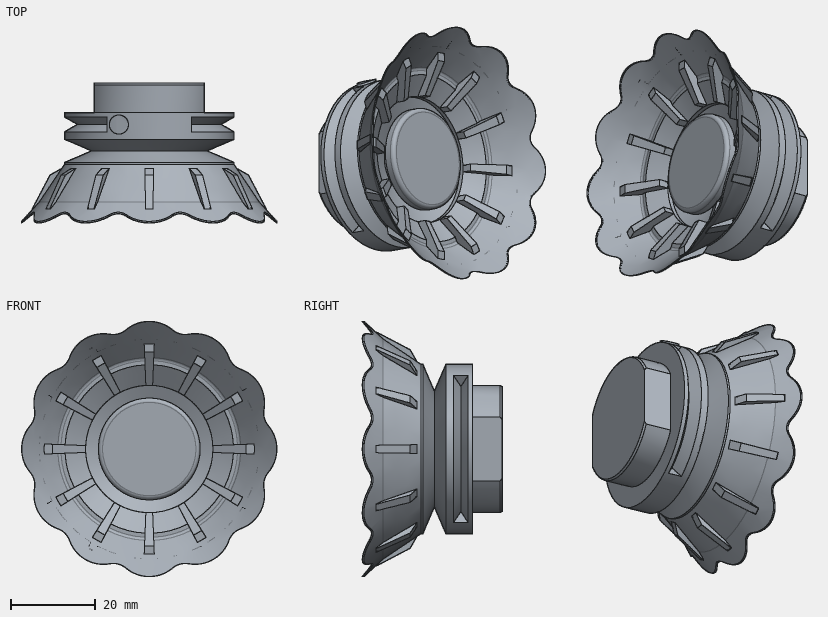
import cadquery as cq
import math


SPIGOT_RADIUS = 15.0
SPIGOT_FLAT_DISTANCE = 13.0
SPIGOT_CHAMFER_DEPTH = 0.5
SPIGOT_CHAMFER_WIDTH = 0.3

BODY_RADIUS = 20.0
FLANGE_REAR = 7.0
FLANGE_FRONT = 13.3
NECK_RADIUS = 13.7
NECK_DEPTH = 16.0
BAND_REAR = 18.7
BAND_FRONT = 19.2

GROOVE_REAR = 8.05
GROOVE_APEX = 9.75
GROOVE_FRONT = 11.5
GROOVE_BOTTOM_RADIUS = 17.0
GROOVE_SWEEP = 120.0
GROOVE_OVERSHOOT = 1.0

BADGE_X = -7.15
BADGE_DEPTH = 9.8
BADGE_RADIUS = 2.25
BADGE_HEIGHT = 0.5

LIP_RADIUS = 30.085
LIP_DEPTH = 33.0
LIP_THICKNESS = 0.4
SKIRT_KNEE_RADIUS = 25.96
SKIRT_KNEE_DEPTH = 28.1
STEP_DEPTH = 23.4
STEP_INNER_RADIUS = 19.85
STEP_OUTER_RADIUS = 21.25
STEP_FILLET = 1.0
LIP_OVERSHOOT = 1.0

THROAT_RADIUS = 15.0
THROAT_DEPTH = 20.4
FLOOR_DEPTH = 19.3
FLOOR_SLOPE = 0.43
STEM_RADIUS = 8.0
PLUG_RADIUS = 12.0
PLUG_REAR = 20.3
PLUG_FRONT = 22.9
PLUG_FILLET = 1.0

LOBE_COUNT = 12
PITCH = 360.0 / LOBE_COUNT
LOBE_RADIUS = 8.5
VALLEY_DISTANCE = 28.1

INNER_RIB_FRONT = 22.8
INNER_RIB_END = 27.2
INNER_RIB_CREST_RADIUS = 22.8
INNER_RIB_OUTER_RADIUS = 25.0
INNER_RIB_THROAT_WIDTH = 1.6
INNER_RIB_END_WIDTH = 2.4
INNER_RIB_ROOT = 2.0

OUTER_RIB_REAR = 20.1
OUTER_RIB_SHOULDER = 21.7
OUTER_RIB_SHOULDER_RADIUS = 23.4
OUTER_RIB_FRONT = 29.7
OUTER_RIB_FRONT_RADIUS = 27.6
OUTER_RIB_REAR_WIDTH = 2.05
OUTER_RIB_FRONT_WIDTH = 1.75
OUTER_RIB_ROOT = 0.4
OUTER_RIB_LIP_ROOT = 0.2

TOLERANCE = 0.001


def at(radius, depth):
    """Profile point in the XY half plane."""
    return (radius, -depth)


def on_line(start, end, depth):
    """Radius at a depth on the line through two (radius, depth) points."""
    share = (depth - start[1]) / (end[1] - start[1])
    return start[0] + share * (end[0] - start[0])


def outer_wall_radius(depth):
    """Radius of the outer skirt surface between the band and the lip."""
    knee = (SKIRT_KNEE_RADIUS, SKIRT_KNEE_DEPTH)
    if depth <= SKIRT_KNEE_DEPTH:
        return on_line((BODY_RADIUS, BAND_FRONT), knee, depth)
    return on_line(knee, (LIP_RADIUS, LIP_DEPTH - LIP_THICKNESS), depth)


def circle_edges(part, radius):
    """Circular edges of a part that have the given radius."""
    return part.edges("%CIRCLE").filter(lambda edge: abs(edge.radius() - radius) < TOLERANCE)


def polar(radius, degrees):
    """Point at a radius and angle in the plane across the axis."""
    angle = math.radians(degrees)
    return (radius * math.cos(angle), radius * math.sin(angle))


def bellows_body():
    """Flange, bellows, skirt and plug as one turned body with an untrimmed lip."""
    lip_slope = (LIP_DEPTH - STEP_DEPTH) / (LIP_RADIUS - STEP_OUTER_RADIUS)
    blank_front = LIP_DEPTH + LIP_OVERSHOOT * lip_slope
    blank_radius = LIP_RADIUS + LIP_OVERSHOOT
    stem_root = FLOOR_DEPTH - FLOOR_SLOPE * (THROAT_RADIUS - STEM_RADIUS)
    body = (
        cq.Workplane("XY")
        .moveTo(*at(0, FLANGE_REAR))
        .lineTo(*at(BODY_RADIUS, FLANGE_REAR))
        .lineTo(*at(BODY_RADIUS, FLANGE_FRONT))
        .lineTo(*at(NECK_RADIUS, NECK_DEPTH))
        .lineTo(*at(BODY_RADIUS, BAND_REAR))
        .lineTo(*at(BODY_RADIUS, BAND_FRONT))
        .lineTo(*at(SKIRT_KNEE_RADIUS, SKIRT_KNEE_DEPTH))
        .lineTo(*at(blank_radius, blank_front - LIP_THICKNESS))
        .lineTo(*at(blank_radius, blank_front))
        .lineTo(*at(STEP_OUTER_RADIUS, STEP_DEPTH))
        .lineTo(*at(STEP_INNER_RADIUS, STEP_DEPTH))
        .lineTo(*at(THROAT_RADIUS, THROAT_DEPTH))
        .lineTo(*at(THROAT_RADIUS, FLOOR_DEPTH))
        .lineTo(*at(STEM_RADIUS, stem_root))
        .lineTo(*at(STEM_RADIUS, PLUG_REAR))
        .lineTo(*at(PLUG_RADIUS, PLUG_REAR))
        .lineTo(*at(PLUG_RADIUS, PLUG_FRONT))
        .lineTo(*at(0, PLUG_FRONT))
        .close()
        .revolve(360, (0, 0), (0, 1))
    )
    body = circle_edges(body, STEP_OUTER_RADIUS).fillet(STEP_FILLET)
    return circle_edges(body, PLUG_RADIUS).edges("<Y").fillet(PLUG_FILLET)


def scalloped_outline():
    """Prism along Y whose outline alternates convex lobes and tangent concave valleys."""
    lobe_centre = LIP_RADIUS - LOBE_RADIUS
    half_cos = math.cos(math.radians(PITCH / 2))
    valley_radius = (
        LOBE_RADIUS**2 - lobe_centre**2 - VALLEY_DISTANCE**2 + 2 * lobe_centre * VALLEY_DISTANCE * half_cos
    ) / (2 * (VALLEY_DISTANCE - lobe_centre * half_cos - LOBE_RADIUS))
    valley_x, valley_z = polar(VALLEY_DISTANCE + valley_radius, PITCH / 2)
    share = LOBE_RADIUS / (LOBE_RADIUS + valley_radius)
    joint_x = lobe_centre + share * (valley_x - lobe_centre)
    joint_z = share * valley_z
    joint_radius = math.hypot(joint_x, joint_z)
    joint_angle = math.degrees(math.atan2(joint_z, joint_x))

    outline = cq.Workplane("XZ").moveTo(*polar(joint_radius, -joint_angle))
    for index in range(LOBE_COUNT):
        middle = index * PITCH
        outline = outline.threePointArc(polar(LIP_RADIUS, middle), polar(joint_radius, middle + joint_angle))
        outline = outline.threePointArc(
            polar(VALLEY_DISTANCE, middle + PITCH / 2),
            polar(joint_radius, middle + PITCH - joint_angle),
        )
    return outline.close().extrude(LIP_DEPTH + LIP_OVERSHOOT)


def spigot():
    """Chamfered round boss with two flats facing +X and -X."""
    profile = (
        cq.Workplane("XY")
        .moveTo(0, 0)
        .lineTo(*at(SPIGOT_RADIUS - SPIGOT_CHAMFER_WIDTH, 0))
        .lineTo(*at(SPIGOT_RADIUS, SPIGOT_CHAMFER_DEPTH))
        .lineTo(*at(SPIGOT_RADIUS, FLANGE_REAR))
        .lineTo(*at(0, FLANGE_REAR))
        .close()
        .revolve(360, (0, 0), (0, 1))
    )
    between_flats = cq.Workplane("XZ").rect(2 * SPIGOT_FLAT_DISTANCE, 2 * SPIGOT_RADIUS).extrude(FLANGE_REAR)
    return profile.intersect(between_flats)


def grip_groove(side_angle):
    """V-shaped ring sector centred on an angle about Y, measured from +X."""
    return (
        cq.Workplane("XY")
        .polyline([
            at(BODY_RADIUS, GROOVE_REAR),
            at(GROOVE_BOTTOM_RADIUS, GROOVE_APEX),
            at(BODY_RADIUS, GROOVE_FRONT),
            at(BODY_RADIUS + GROOVE_OVERSHOOT, GROOVE_FRONT),
            at(BODY_RADIUS + GROOVE_OVERSHOOT, GROOVE_REAR),
        ])
        .close()
        .revolve(GROOVE_SWEEP, (0, 0), (0, 1))
        .rotate((0, 0, 0), (0, 1, 0), side_angle - GROOVE_SWEEP / 2)
    )


def badge():
    """Round badge on the +Z side with a face concentric with the flange."""
    post = (
        cq.Workplane("XY", origin=(0, 0, SPIGOT_RADIUS))
        .center(BADGE_X, -BADGE_DEPTH)
        .circle(BADGE_RADIUS)
        .extrude(BODY_RADIUS)
    )
    badge_face = cq.Workplane("XZ").circle(BODY_RADIUS + BADGE_HEIGHT).extrude(FLANGE_FRONT)
    return post.intersect(badge_face)


def inner_rib():
    """Rib pointing along +X on the inside of the cup."""
    side = (
        cq.Workplane("XY")
        .polyline([
            at(THROAT_RADIUS, FLOOR_DEPTH),
            at(THROAT_RADIUS, INNER_RIB_FRONT),
            at(INNER_RIB_CREST_RADIUS, INNER_RIB_END),
            at(INNER_RIB_OUTER_RADIUS, INNER_RIB_END),
            at(BODY_RADIUS, STEP_DEPTH - INNER_RIB_ROOT),
        ])
        .close()
        .extrude(INNER_RIB_END_WIDTH, both=True)
    )
    plan = (
        cq.Workplane("XZ")
        .polyline([
            (THROAT_RADIUS, -INNER_RIB_THROAT_WIDTH / 2),
            (INNER_RIB_OUTER_RADIUS, -INNER_RIB_END_WIDTH / 2),
            (INNER_RIB_OUTER_RADIUS, INNER_RIB_END_WIDTH / 2),
            (THROAT_RADIUS, INNER_RIB_THROAT_WIDTH / 2),
        ])
        .close()
        .extrude(LIP_DEPTH)
    )
    return side.intersect(plan)


def outer_rib():
    """Rib pointing along +X on the outside of the cup."""
    side = (
        cq.Workplane("XY")
        .polyline([
            at(outer_wall_radius(OUTER_RIB_REAR), OUTER_RIB_REAR),
            at(OUTER_RIB_SHOULDER_RADIUS, OUTER_RIB_SHOULDER),
            at(OUTER_RIB_FRONT_RADIUS, OUTER_RIB_FRONT),
            at(outer_wall_radius(OUTER_RIB_FRONT) - OUTER_RIB_LIP_ROOT, OUTER_RIB_FRONT),
            at(SKIRT_KNEE_RADIUS - OUTER_RIB_LIP_ROOT, SKIRT_KNEE_DEPTH),
            at(outer_wall_radius(OUTER_RIB_REAR) - OUTER_RIB_ROOT, OUTER_RIB_REAR),
        ])
        .close()
        .extrude(OUTER_RIB_REAR_WIDTH, both=True)
    )
    taper = (
        cq.Workplane("YZ")
        .polyline([
            (-OUTER_RIB_REAR, -OUTER_RIB_REAR_WIDTH / 2),
            (-OUTER_RIB_FRONT, -OUTER_RIB_FRONT_WIDTH / 2),
            (-OUTER_RIB_FRONT, OUTER_RIB_FRONT_WIDTH / 2),
            (-OUTER_RIB_REAR, OUTER_RIB_REAR_WIDTH / 2),
        ])
        .close()
        .extrude(LIP_RADIUS)
    )
    return side.intersect(taper)


result = bellows_body().intersect(scalloped_outline()).union(spigot()).union(badge())
for side_angle in (0, 180):
    result = result.cut(grip_groove(side_angle))
for index in range(LOBE_COUNT):
    for rib in (inner_rib(), outer_rib()):
        result = result.union(rib.rotate((0, 0, 0), (0, 1, 0), index * PITCH))